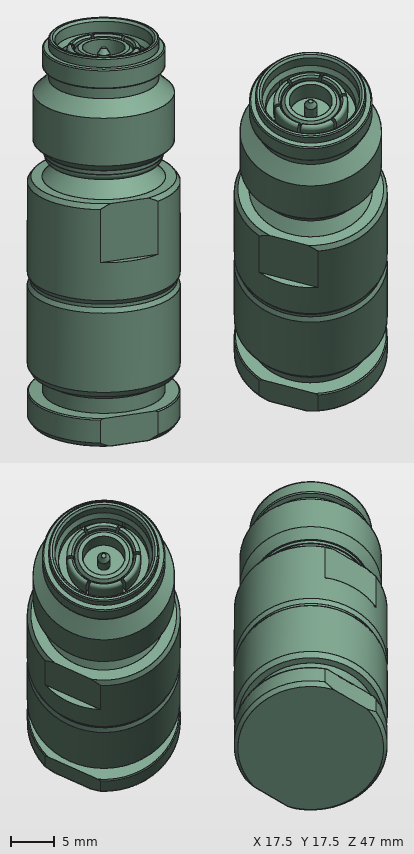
import cadquery as cq
import math

total_height = 47.05
body_radius = 8.75
flat_distance = 8.0
edge_break = 0.15

nut_top = 3.55
nut_chamfer_height = 0.55
nut_chamfer_radius = 8.35
neck_radius = 7.0
neck_top = 5.35

sleeve_bottom = 6.1
sleeve_chamfer_height = 0.7
sleeve_bottom_radius = 8.35
recess_radius = 7.6
groove_center = 17.35
groove_floor_height = 0.4
groove_depth = 0.35
groove_height = 1.55
body_top = 29.92
body_top_chamfer_height = 0.55
body_top_radius = 8.35
flat_bottom = 22.8

cone_base_radius = 7.05
coupling_bottom = 32.1
cone_top_radius = cone_base_radius - (coupling_bottom - body_top)

lip_radius = 6.78
lip_round = 0.55
lip_step_bottom = 32.9
lip_step_radius = 6.85
lip_top = 33.45
coupling_radius = 8.1
coupling_lower_edge = 34.5
coupling_upper_edge = 40.35
collar_radius = 6.3
collar_bottom = 42.05
flange_radius = 7.0
flange_bottom = 43.5
flange_top = 45.9

mouth_radius = 5.9
bore_radius = 5.6
ledge_depth = 1.65
ledge_taper_height = 0.6
well_radius = 5.18
well_depth = 3.4

finger_outer_radius = 4.25
finger_crest_radius = 3.75
finger_crest_width = 0.1
finger_inner_radius = 3.45
finger_chamfer_height = 0.25
finger_depth = 1.05
finger_round = finger_outer_radius - finger_crest_radius
slot_width = 0.35
slot_count = 6

insulator_radius = 3.35
insulator_top_radius = 2.95
insulator_bore_radius = 2.45
insulator_depth = 1.2
insulator_chamfer_height = 0.38
insulator_bore_depth = 3.65

pin_radius = 0.7
pin_shoulder_depth = 1.95
pin_mid_radius = 0.5
pin_mid_depth = 1.65
pin_tip_radius = 0.3
pin_tip_depth = 1.25


def below_top(depth):
    """Height of a point that lies the given depth under the top rim."""
    return total_height - depth


def turned_blank():
    """Revolve the outside of the connector together with its socket."""
    groove_half = groove_height / 2
    groove_floor_half = groove_floor_height / 2
    groove_radius = body_radius - groove_depth
    finger_top = below_top(finger_depth)
    round_offset = finger_round * math.sqrt(0.5)
    insulator_top = below_top(insulator_depth)
    insulator_shoulder = insulator_top - insulator_chamfer_height
    pin_tip = below_top(pin_tip_depth)

    profile = (
        cq.Workplane("XZ")
        .moveTo(0, 0)
        .lineTo(nut_chamfer_radius, 0)
        .lineTo(body_radius, nut_chamfer_height)
        .lineTo(body_radius, nut_top - edge_break)
        .lineTo(body_radius - edge_break, nut_top)
        .lineTo(neck_radius, nut_top)
        .lineTo(neck_radius, neck_top)
        .lineTo(recess_radius, sleeve_bottom)
        .lineTo(sleeve_bottom_radius, sleeve_bottom)
        .lineTo(body_radius, sleeve_bottom + sleeve_chamfer_height)
        .lineTo(body_radius, groove_center - groove_half)
        .lineTo(groove_radius, groove_center - groove_floor_half)
        .lineTo(groove_radius, groove_center + groove_floor_half)
        .lineTo(body_radius, groove_center + groove_half)
        .lineTo(body_radius, body_top - body_top_chamfer_height)
        .lineTo(body_top_radius, body_top)
        .lineTo(cone_base_radius, body_top)
        .lineTo(cone_top_radius, coupling_bottom)
        .lineTo(lip_radius - lip_round, coupling_bottom)
        .radiusArc((lip_radius, coupling_bottom + lip_round), -lip_round)
        .lineTo(lip_radius, lip_step_bottom)
        .lineTo(lip_step_radius, lip_step_bottom)
        .lineTo(lip_step_radius, lip_top)
        .lineTo(neck_radius, lip_top)
        .lineTo(coupling_radius, coupling_lower_edge)
        .lineTo(coupling_radius, coupling_upper_edge)
        .lineTo(collar_radius, collar_bottom)
        .lineTo(collar_radius, flange_bottom)
        .lineTo(flange_radius - edge_break, flange_bottom)
        .lineTo(flange_radius, flange_bottom + edge_break)
        .lineTo(flange_radius, flange_top - edge_break)
        .lineTo(flange_radius - edge_break, flange_top)
        .lineTo(collar_radius, flange_top)
        .lineTo(collar_radius, total_height - edge_break)
        .lineTo(collar_radius - edge_break, total_height)
        .lineTo(mouth_radius, total_height)
        .lineTo(bore_radius, total_height - (mouth_radius - bore_radius))
        .lineTo(bore_radius, below_top(ledge_depth))
        .lineTo(well_radius, below_top(ledge_depth + ledge_taper_height))
        .lineTo(well_radius, below_top(well_depth))
        .lineTo(finger_outer_radius, below_top(well_depth))
        .lineTo(finger_outer_radius, finger_top - finger_round)
        .threePointArc(
            (finger_crest_radius + round_offset, finger_top - finger_round + round_offset),
            (finger_crest_radius, finger_top),
        )
        .lineTo(finger_crest_radius - finger_crest_width, finger_top)
        .lineTo(finger_inner_radius, finger_top - finger_chamfer_height)
        .lineTo(finger_inner_radius, below_top(well_depth))
        .lineTo(insulator_radius, below_top(well_depth))
        .lineTo(insulator_radius, insulator_shoulder)
        .lineTo(insulator_top_radius, insulator_top)
        .lineTo(insulator_bore_radius, insulator_top)
        .lineTo(insulator_bore_radius, below_top(insulator_bore_depth))
        .lineTo(pin_radius, below_top(insulator_bore_depth))
        .lineTo(pin_radius, below_top(pin_shoulder_depth))
        .lineTo(pin_mid_radius, below_top(pin_mid_depth))
        .lineTo(pin_tip_radius, pin_tip)
        .lineTo(0, pin_tip)
        .close()
    )
    return profile.revolve(360, (0, 0, 0), (0, 1, 0))


def flat_cutter(bottom, top):
    """Blocks that leave two flats, facing -X and +X, between two heights."""
    cutter_thickness = body_radius
    return (
        cq.Workplane("XY", origin=(0, 0, bottom))
        .pushPoints([(side * (flat_distance + cutter_thickness / 2), 0) for side in (-1, 1)])
        .rect(cutter_thickness, 2 * body_radius)
        .extrude(top - bottom)
    )


def finger_slots():
    """Radial slots that divide the contact ring into equal fingers."""
    slot_length = well_radius - insulator_radius
    return (
        cq.Workplane("XY", origin=(0, 0, below_top(well_depth)))
        .polarArray((insulator_radius + well_radius) / 2, 0, 360, slot_count)
        .rect(slot_length, slot_width)
        .extrude(well_depth - finger_depth)
    )


result = (
    turned_blank()
    .cut(flat_cutter(0, nut_top))
    .cut(flat_cutter(flat_bottom, body_top))
    .cut(finger_slots())
)